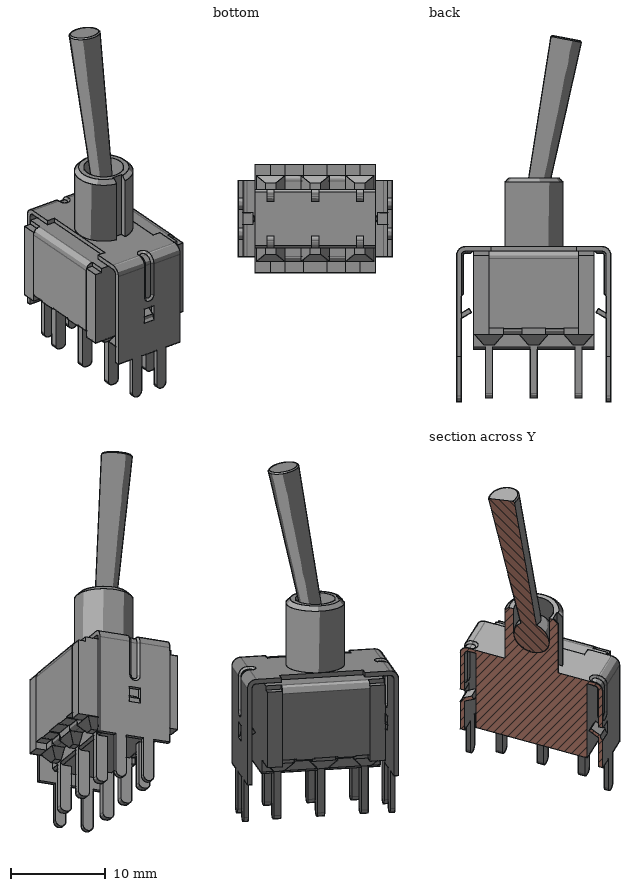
import cadquery as cq
import math


bracket_length = 16.26
bracket_width = 8.06
bracket_top = 11.6
sheet = 0.5
bend_radius = 0.95
notch_length = 9.0
notch_inner_y = 3.15
leg_width = 1.2
leg_spacing = 3.16
leg_bottom = -4.76

bead_mouth_radius = 0.6
bead_floor_radius = 0.33
bead_depth = 0.22
bead_low_end = 6.32
bead_inner_end = 6.4

tab_width = 1.27
window_bottom = 3.85
window_top = 5.55
tab_bend_height = 0.6
tab_tip_x = 6.55
tab_angle = 30

case_length = 12.7
case_width = 11.43
case_top = bracket_top - sheet
case_bottom = 2.31
panel_length = 9.4
panel_bottom = 2.94
panel_notch_top = 3.04
post_inset = 0.015
under_panel_recess = 1.2
top_edge_radius = 0.75
ledge_depth = 0.8
ledge_drop = 0.47
core_edge_radius = 0.55

base_bottom = 0.77
base_chamfer = 0.27
pin_pitch = 4.7
pin_row_y = 2.44
pin_thickness = 0.76
pin_width = 1.27
pin_bottom = -4.36
pin_tip_radius = 0.5
base_half_width = pin_row_y + pin_width / 2
foot_top_half_length = 1.5
foot_tip_half_length = 0.55
foot_bottom = 1.22
foot_tip_y = 3.75
middle_block_half_length = 1.25

bushing_radius = 3.1
bushing_top = 18.83
bushing_chamfer = 0.45
bore_diameter = 4.2
key_width = 1.1
key_inner_radius = 2.4

pivot_z = 15.5
lever_tilt = 10.8
lever_length = 18.36
lever_tip_radius = 1.65
lever_ball_end_radius = 1.05
lever_tip_chamfer = 0.15

half_length = bracket_length / 2
core_half_width = case_width / 2 - under_panel_recess
columns = (-pin_pitch, 0, pin_pitch)


def box(x_min, x_max, y_min, y_max, z_min, z_max):
    size = (x_max - x_min, y_max - y_min, z_max - z_min)
    return cq.Workplane().box(*size, centered=False).translate((x_min, y_min, z_min))


def both_ends(shape):
    """The shape at the -X end and its mirror image at the +X end."""
    return shape, shape.mirror("YZ")


def make_channel():
    """Sheet bent into an upside-down U, with its top notched on both long sides."""
    inner_half = half_length - sheet
    outer = box(-half_length, half_length, -bracket_width / 2, bracket_width / 2, 0, bracket_top)
    outer = outer.edges("|Y and >Z").fillet(bend_radius)
    inner = box(-inner_half, inner_half, -bracket_width / 2, bracket_width / 2, 0, bracket_top - sheet)
    inner = inner.edges("|Y and >Z").fillet(bend_radius - sheet)
    channel = outer.cut(inner)
    for side in (-1, 1):
        notch = cq.Workplane().box(notch_length, bracket_width, 2 * sheet)
        notch_y = side * (notch_inner_y + bracket_width / 2)
        channel = channel.cut(notch.translate((0, notch_y, bracket_top)))
    return channel


def make_leg(y):
    """Solder leg with a fully rounded tip, below the -X side of the bracket."""
    tip_radius = leg_width / 2
    leg = box(-half_length, -half_length + sheet, y - tip_radius, y + tip_radius, leg_bottom, sheet)
    tip_z = leg_bottom + tip_radius
    straight = leg.intersect(box(-half_length, 0, -bracket_width, bracket_width, tip_z, sheet))
    tip = cq.Workplane("YZ").center(y, tip_z).circle(tip_radius).extrude(sheet)
    return straight.union(tip.translate((-half_length, 0, 0)))


def make_bead(inset):
    """Tapered bead over the -X bend, with its mouth lying inset below the outer sheet face."""
    side_x = -half_length + inset
    top_z = bracket_top - inset
    radius = bend_radius - inset
    low_z = bead_low_end + bead_mouth_radius
    end_x = -bead_inner_end - bead_mouth_radius
    arc_mid_offset = radius * (1 - math.sqrt(0.5))
    path = (
        cq.Workplane("XZ")
        .moveTo(side_x, low_z)
        .lineTo(side_x, top_z - radius)
        .threePointArc((side_x + arc_mid_offset, top_z - arc_mid_offset), (side_x + radius, top_z))
        .lineTo(end_x, top_z)
    )
    section = (
        cq.Workplane("XY", origin=(side_x, 0, low_z))
        .moveTo(0, -bead_mouth_radius)
        .lineTo(bead_depth, -bead_floor_radius)
        .lineTo(bead_depth, bead_floor_radius)
        .lineTo(0, bead_mouth_radius)
        .close()
    )
    bead = section.sweep(path)
    for origin, direction in (((side_x, 0, low_z), (1, 0, 0)), ((end_x, 0, top_z), (0, 0, -1))):
        cone = cq.Solid.makeCone(
            bead_mouth_radius, bead_floor_radius, bead_depth, cq.Vector(*origin), cq.Vector(*direction)
        )
        bead = bead.union(cq.Workplane(cone))
    return bead


def make_tab():
    """Spring tab rising inward from the bottom of the -X window, curved where it leaves the sheet."""
    rise = math.tan(math.radians(tab_angle))
    foot_x = -half_length
    bend_x = foot_x + sheet / 2
    bend_z = window_bottom + tab_bend_height
    bend_reach = bend_x - foot_x
    bend_curve_radius = (bend_reach**2 + tab_bend_height**2) / (2 * bend_reach)
    tip_z = bend_z + rise * (-tab_tip_x - bend_x)
    drop_x = sheet * math.sin(math.radians(tab_angle))
    drop_z = sheet * math.cos(math.radians(tab_angle))
    return (
        cq.Workplane("XZ", origin=(0, tab_width / 2, 0))
        .moveTo(foot_x, window_bottom)
        .lineTo(foot_x + sheet, window_bottom)
        .lineTo(bend_x + drop_x, bend_z - drop_z)
        .lineTo(-tab_tip_x, tip_z - drop_z - rise * drop_x)
        .lineTo(-tab_tip_x - drop_x, tip_z - rise * drop_x)
        .lineTo(bend_x, bend_z)
        .radiusArc((foot_x, window_bottom), bend_curve_radius)
        .close()
        .extrude(tab_width)
    )


def make_bracket():
    bracket = make_channel()
    for y in (-leg_spacing / 2, leg_spacing / 2):
        for leg in both_ends(make_leg(y)):
            bracket = bracket.union(leg)
    half_tab = tab_width / 2
    window = box(-half_length, -half_length + sheet, -half_tab, half_tab, window_bottom, window_top)
    for rib in both_ends(make_bead(sheet)):
        bracket = bracket.union(rib)
    for cutter in (*both_ends(make_bead(0)), *both_ends(window)):
        bracket = bracket.cut(cutter)
    for tab in both_ends(make_tab()):
        bracket = bracket.union(tab)
    return bracket


def block_half_length(x):
    """Half length of the block over a potting foot, which is shorter at the middle pin."""
    return middle_block_half_length if x == 0 else foot_top_half_length


def make_case():
    """Block with round top edges between its corner posts and a recess under each long panel."""
    half_case = case_length / 2
    half_width = case_width / 2
    half_panel = panel_length / 2
    post_y = half_width - post_inset
    posts = box(-half_case, half_case, -post_y, post_y, case_bottom, case_top)
    posts = posts.cut(box(-half_panel, half_panel, -half_width, half_width, case_bottom, case_top))
    for side in (-1, 1):
        ledge = cq.Workplane().box(case_length, 2 * ledge_depth, 2 * ledge_drop)
        posts = posts.cut(ledge.translate((0, side * half_width, case_top)))
    panels = box(-half_panel, half_panel, -half_width, half_width, panel_bottom, case_top)
    panels = panels.edges("|X and >Z").fillet(top_edge_radius)
    for x in columns:
        half_block = block_half_length(x)
        panels = panels.cut(
            box(x - half_block, x + half_block, -half_width, half_width, panel_bottom, panel_notch_top)
        )
    core = box(-half_panel, half_panel, -core_half_width, core_half_width, case_bottom, case_top)
    core = core.edges("|X and <Z").fillet(core_edge_radius)
    return posts.union(panels).union(core)


def make_base():
    half_case = case_length / 2
    base = box(-half_case, half_case, -base_half_width, base_half_width, base_bottom, panel_bottom)
    return base.edges("|X and <Z").chamfer(base_chamfer)


def make_terminal(x):
    """Pin of the -Y row with its rounded tip, its potting foot and the block above the foot."""
    pin = box(
        x - pin_thickness / 2, x + pin_thickness / 2,
        -base_half_width, -base_half_width + pin_width,
        pin_bottom, case_bottom,
    )
    pin = pin.edges("|X and <Z").fillet(pin_tip_radius)
    foot = (
        cq.Workplane("XY", origin=(x, -core_half_width / 2, case_bottom))
        .rect(2 * foot_top_half_length, core_half_width)
        .workplane(offset=foot_bottom - case_bottom)
        .center(0, (core_half_width - foot_tip_y) / 2)
        .rect(2 * foot_tip_half_length, foot_tip_y)
        .loft()
    )
    half_block = block_half_length(x)
    block = box(x - half_block, x + half_block, -core_half_width, 0, case_bottom, panel_notch_top)
    return pin.union(foot).union(block)


def make_bushing():
    """Chamfered tube with a keyway on its +X side."""
    height = bushing_top - case_top
    bushing = cq.Workplane("XY", origin=(0, 0, case_top)).circle(bushing_radius).extrude(height)
    bushing = bushing.faces(">Z").chamfer(bushing_chamfer)
    return bushing.cut(
        box(key_inner_radius, bushing_radius, -key_width / 2, key_width / 2, bracket_top, bushing_top)
    )


def make_socket():
    """Bushing bore ending in a round seat for the lever ball."""
    ball_radius = bore_diameter / 2
    bore = cq.Workplane("XY", origin=(0, 0, pivot_z)).circle(ball_radius).extrude(bushing_top - pivot_z)
    return bore.union(cq.Workplane(origin=(0, 0, pivot_z)).sphere(ball_radius))


def make_housing():
    housing = make_bracket().union(make_case()).union(make_base())
    for x in columns:
        terminal = make_terminal(x)
        housing = housing.union(terminal).union(terminal.mirror("XZ"))
    return housing.union(make_bushing()).cut(make_socket())


def make_lever():
    """Tapered handle on a ball, leaning towards -X about the ball centre."""
    handle = (
        cq.Workplane("XY")
        .circle(lever_ball_end_radius)
        .workplane(offset=lever_length)
        .circle(lever_tip_radius)
        .loft()
        .faces(">Z")
        .chamfer(lever_tip_chamfer)
    )
    lever = handle.union(cq.Workplane().sphere(bore_diameter / 2))
    return lever.rotate((0, 0, 0), (0, 1, 0), -lever_tilt).translate((0, 0, pivot_z))


housing = make_housing()
lever = make_lever()

result = cq.Compound.makeCompound([housing.solids().val(), lever.solids().val()])